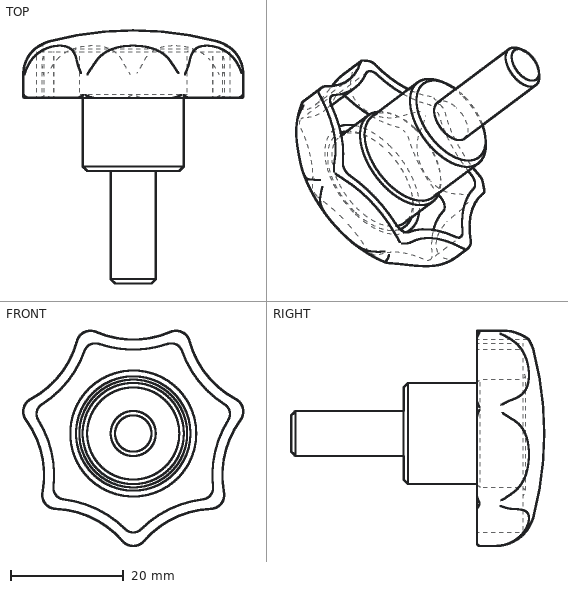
import cadquery as cq
import math

TOTAL_LENGTH = 45
HEAD_HEIGHT = 12.0
HUB_LENGTH = 13.0
LOBE_COUNT = 7
LOBE_PITCH = 360 / LOBE_COUNT

HEAD_RADIUS = 20.002
DOME_RADIUS = 58.05
SHOULDER_RADIUS = 7.0
RIM_ROUNDING = 0.6
LOBE_TIP_RADIUS = 2.498
FLUTE_RADIUS = 16.42
FLUTE_DISTANCE = 33.1

WALL = 1.8
POCKET_DEPTH = 8.2
POCKET_REACH = 17.572
POCKET_TIP_RADIUS = 2.002

GROOVE_OUTER_RADIUS = 11.2
GROOVE_BOTTOM_RADIUS = 10.15
GROOVE_DEPTH = 0.45

HUB_RADIUS = 9
HUB_CHAMFER = 0.8
HUB_BASE_RADIUS = 9.6
STUD_RADIUS = 4.0
STUD_CHAMFER = 0.75

DOME_TOP = TOTAL_LENGTH / 2
RIM_Y = DOME_TOP - HEAD_HEIGHT
HUB_END = RIM_Y - HUB_LENGTH
STUD_END = DOME_TOP - TOTAL_LENGTH
POCKET_FLOOR = RIM_Y + POCKET_DEPTH
GROOVE_BOTTOM = POCKET_FLOOR + GROOVE_DEPTH


def polar(radius, degrees):
    angle = math.radians(degrees)
    return radius * math.cos(angle), radius * math.sin(angle)


def between(start, end, fraction):
    return tuple(a + (b - a) * fraction for a, b in zip(start, end))


def star_prism(reach, tip_radius, flute_radius, start_y, end_y):
    """Star of convex lobe tips joined tangentially by concave flutes, extruded along Y."""
    tip_distance = reach - tip_radius
    tangent_fraction = tip_radius / (tip_radius + flute_radius)
    valley_radius = FLUTE_DISTANCE - flute_radius

    def tangent_point(lobe_angle, side):
        tip_centre = polar(tip_distance, lobe_angle)
        flute_centre = polar(FLUTE_DISTANCE, lobe_angle + side * LOBE_PITCH / 2)
        return between(tip_centre, flute_centre, tangent_fraction)

    first_lobe = -90
    outline = cq.Workplane("XZ", origin=(0, start_y, 0)).moveTo(*tangent_point(first_lobe, -1))
    for index in range(LOBE_COUNT):
        lobe = first_lobe + index * LOBE_PITCH
        next_start = tangent_point(lobe + LOBE_PITCH, -1)
        outline = outline.threePointArc(polar(reach, lobe), tangent_point(lobe, 1))
        outline = outline.threePointArc(polar(valley_radius, lobe + LOBE_PITCH / 2), next_start)
    return outline.close().extrude(start_y - end_y)


def revolve_about_y(profile):
    return profile.close().revolve(360, (0, 0, 0), (0, 1, 0))


def domed_disc():
    shoulder_x = HEAD_RADIUS - SHOULDER_RADIUS
    dome_centre_y = DOME_TOP - DOME_RADIUS
    dome_angle = math.asin(shoulder_x / (DOME_RADIUS - SHOULDER_RADIUS))
    shoulder_y = dome_centre_y + (DOME_RADIUS - SHOULDER_RADIUS) * math.cos(dome_angle)

    def dome_point(angle):
        return DOME_RADIUS * math.sin(angle), dome_centre_y + DOME_RADIUS * math.cos(angle)

    def shoulder_point(angle):
        return (shoulder_x + SHOULDER_RADIUS * math.sin(angle),
                shoulder_y + SHOULDER_RADIUS * math.cos(angle))

    right_angle = math.pi / 2
    profile = (
        cq.Workplane("XY")
        .moveTo(0, RIM_Y)
        .lineTo(HEAD_RADIUS - RIM_ROUNDING, RIM_Y)
        .radiusArc((HEAD_RADIUS, RIM_Y + RIM_ROUNDING), -RIM_ROUNDING)
        .lineTo(*shoulder_point(right_angle))
        .threePointArc(shoulder_point((dome_angle + right_angle) / 2), shoulder_point(dome_angle))
        .threePointArc(dome_point(dome_angle / 2), (0, DOME_TOP))
    )
    return revolve_about_y(profile)


def floor_groove():
    return revolve_about_y(
        cq.Workplane("XY")
        .moveTo(0, POCKET_FLOOR)
        .lineTo(GROOVE_OUTER_RADIUS, POCKET_FLOOR)
        .lineTo(GROOVE_BOTTOM_RADIUS, GROOVE_BOTTOM)
        .lineTo(0, GROOVE_BOTTOM)
    )


def hub_and_stud():
    step_start = RIM_Y + HUB_BASE_RADIUS - HUB_RADIUS
    return revolve_about_y(
        cq.Workplane("XY")
        .moveTo(0, GROOVE_BOTTOM)
        .lineTo(GROOVE_BOTTOM_RADIUS, GROOVE_BOTTOM)
        .lineTo(HUB_BASE_RADIUS, POCKET_FLOOR)
        .lineTo(HUB_BASE_RADIUS, step_start)
        .lineTo(HUB_RADIUS, RIM_Y)
        .lineTo(HUB_RADIUS, HUB_END + HUB_CHAMFER)
        .lineTo(HUB_RADIUS - HUB_CHAMFER, HUB_END)
        .lineTo(STUD_RADIUS, HUB_END)
        .lineTo(STUD_RADIUS, STUD_END + STUD_CHAMFER)
        .lineTo(STUD_RADIUS - STUD_CHAMFER, STUD_END)
        .lineTo(0, STUD_END)
    )


head = domed_disc().intersect(
    star_prism(HEAD_RADIUS, LOBE_TIP_RADIUS, FLUTE_RADIUS, RIM_Y, DOME_TOP)
)
pocket = star_prism(POCKET_REACH, POCKET_TIP_RADIUS, FLUTE_RADIUS + WALL, RIM_Y, POCKET_FLOOR)
result = head.cut(pocket).cut(floor_groove()).union(hub_and_stud())